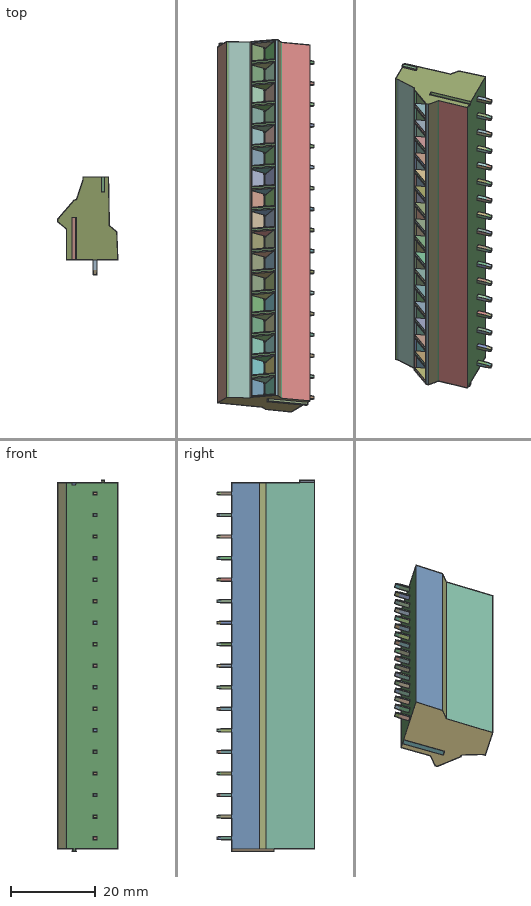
import cadquery as cq
import math

POLES = 17
PITCH = 5.08
BODY_HEIGHT = POLES * PITCH
BODY_DEPTH = 19.6
BODY_WIDTH = 14.25

NOSE_FOOT_X = 2.1
SLOPE_TOP_X = 3.95
SHOULDER_X = 4.45
BACK_LEFT_X = 6.0
BACK_RIGHT_X = 12.05
STEP_X = 12.25
FOOT_X = 14.0

FOOT_Y = 6.6
NOSE_FOOT_Y = 7.26
STEP_Y = 8.1
NOSE_LOW_Y = 9.0
NOSE_HIGH_Y = 9.6
SLOPE_TOP_Y = 14.15
SHOULDER_Y = 14.25
BACK_EDGE_Y = 18.95

NOSE_FOOT_FILLET = 0.4
BACK_EDGE_FILLET = 1.0

POCKET_WIDTH = 4.2
MOUTH_CHAMFER = 0.25
POCKET_DRAFT = 14
POCKET_LOW_Y = 9.75
POCKET_FLOOR_LOW_Y = 10.3
POCKET_HIGH_Y = 14.1
POCKET_FLOOR_X = 4.4
SLOT_WIDTH = 2.6
SLOT_HIGH_Y = 10.8
SLOT_DEPTH = 0.5

PIN_X = 8.85
PIN_WIDTH = 1.0
PIN_THICKNESS = 0.8
PIN_LENGTH = 3.5
PIN_TAPER_LENGTH = 1.1
PIN_TIP_WIDTH = 0.85
PIN_TIP_THICKNESS = 0.55
PIN_ROOT = 1.0

RAIL_HEIGHT = 0.58
TOP_RAIL_X = 10.73
TOP_RAIL_FACE_WIDTH = 0.8
TOP_RAIL_NECK_WIDTH = 0.4
TOP_RAIL_START_Y = 16.05
LONG_RAIL_X = 3.92
LONG_RAIL_FACE_WIDTH = 1.05
LONG_RAIL_NECK_WIDTH = 0.5
LONG_RAIL_END_Y = 10.05
GROOVE_FLOOR_WIDTH = 0.8


def fillet_upright_edge(body, edge_x, edge_y, radius):
    """Round the full-height edge at the given section corner."""
    edge = cq.selectors.NearestToPointSelector((edge_x, edge_y, BODY_HEIGHT / 2))
    return body.edges("|Z").edges(edge).fillet(radius)


def make_housing():
    """Constant section extruded over all poles."""
    section = [
        (NOSE_FOOT_X, 0),
        (BODY_WIDTH, 0),
        (FOOT_X, FOOT_Y),
        (STEP_X, STEP_Y),
        (BACK_RIGHT_X, BODY_DEPTH),
        (BACK_LEFT_X, BODY_DEPTH),
        (BACK_LEFT_X, BACK_EDGE_Y),
        (SHOULDER_X, SHOULDER_Y),
        (SLOPE_TOP_X, SLOPE_TOP_Y),
        (0, NOSE_HIGH_Y),
        (0, NOSE_LOW_Y),
        (NOSE_FOOT_X, NOSE_FOOT_Y),
    ]
    housing = cq.Workplane("XY").polyline(section).close().extrude(BODY_HEIGHT)
    housing = fillet_upright_edge(housing, NOSE_FOOT_X, NOSE_FOOT_Y, NOSE_FOOT_FILLET)
    return fillet_upright_edge(housing, BACK_LEFT_X, BACK_EDGE_Y, BACK_EDGE_FILLET)


def make_pocket_cutter():
    """Wire entry centred on Z = 0: sides drafted inward from the slanted face, floor square to X."""
    slope_x = SLOPE_TOP_X
    slope_y = SLOPE_TOP_Y - NOSE_HIGH_Y
    slope_length = math.hypot(slope_x, slope_y)
    profile = [
        (-slope_x, POCKET_LOW_Y),
        (0, POCKET_LOW_Y),
        (POCKET_FLOOR_X, POCKET_FLOOR_LOW_Y),
        (POCKET_FLOOR_X, POCKET_HIGH_Y),
        (-slope_x, POCKET_HIGH_Y),
    ]
    block = cq.Workplane("XY").polyline(profile).close().extrude(PITCH / 2, both=True)

    depth = slope_length / 2
    half_width = POCKET_WIDTH / 2
    half_mouth = half_width + MOUTH_CHAMFER
    half_bottom = half_width - depth * math.tan(math.radians(POCKET_DRAFT))
    slope_plane = cq.Plane(
        origin=(0, NOSE_HIGH_Y, 0),
        xDir=(slope_y / slope_length, -slope_x / slope_length, 0),
        normal=(slope_x, slope_y, 0),
    )
    wedge = (
        cq.Workplane(slope_plane)
        .polyline([
            (-slope_length, half_mouth),
            (0, half_mouth),
            (MOUTH_CHAMFER, half_width),
            (depth, half_bottom),
            (depth, -half_bottom),
            (MOUTH_CHAMFER, -half_width),
            (0, -half_mouth),
            (-slope_length, -half_mouth),
        ])
        .close()
        .extrude(slope_length, both=True)
    )
    slot = (
        cq.Workplane("XY")
        .box(
            SLOT_DEPTH,
            SLOT_HIGH_Y - POCKET_FLOOR_LOW_Y,
            SLOT_WIDTH,
            centered=(False, False, True),
        )
        .translate((POCKET_FLOOR_X, POCKET_FLOOR_LOW_Y, 0))
    )
    return block.intersect(wedge).union(slot)


def make_pin():
    """Rectangular pin pointing to -Y with a tapered tip, centred on Z = 0."""
    shank_length = PIN_LENGTH - PIN_TAPER_LENGTH
    shank = (
        cq.Workplane("XZ", origin=(PIN_X, PIN_ROOT, 0))
        .rect(PIN_WIDTH, PIN_THICKNESS)
        .extrude(PIN_ROOT + shank_length)
    )
    tip = (
        cq.Workplane("XZ", origin=(PIN_X, -shank_length, 0))
        .rect(PIN_WIDTH, PIN_THICKNESS)
        .workplane(offset=PIN_TAPER_LENGTH)
        .rect(PIN_TIP_WIDTH, PIN_TIP_THICKNESS)
        .loft()
    )
    return shank.union(tip)


def make_bar(section, start_y, end_y):
    """Bar of constant (X, Z) section running along Y."""
    return cq.Workplane("XZ", origin=(0, start_y, 0)).polyline(section).close().extrude(start_y - end_y)


def dovetail_section(center_x, neck_width, face_width, base_z, face_z):
    """Symmetric trapezoid, narrow at base_z and wide at face_z."""
    return [
        (center_x - neck_width / 2, base_z),
        (center_x + neck_width / 2, base_z),
        (center_x + face_width / 2, face_z),
        (center_x - face_width / 2, face_z),
    ]


def make_top_rail():
    """Short rail on the top end, running out at the back."""
    section = dovetail_section(
        TOP_RAIL_X, TOP_RAIL_NECK_WIDTH, TOP_RAIL_FACE_WIDTH, BODY_HEIGHT, BODY_HEIGHT + RAIL_HEIGHT
    )
    return make_bar(section, TOP_RAIL_START_Y, BODY_DEPTH)


def make_bottom_rail():
    """Long rail under the bottom end, starting at the pin face."""
    section = dovetail_section(
        LONG_RAIL_X, LONG_RAIL_NECK_WIDTH, LONG_RAIL_FACE_WIDTH, 0, -RAIL_HEIGHT
    )
    return make_bar(section, 0, LONG_RAIL_END_Y)


def make_groove_cutter():
    """Groove in the top end above the long rail: one wall upright, the other sloped."""
    left_x = LONG_RAIL_X - LONG_RAIL_FACE_WIDTH / 2
    floor_z = BODY_HEIGHT - RAIL_HEIGHT
    section = [
        (left_x, floor_z),
        (left_x + GROOVE_FLOOR_WIDTH, floor_z),
        (left_x + LONG_RAIL_FACE_WIDTH, BODY_HEIGHT),
        (left_x, BODY_HEIGHT),
    ]
    return make_bar(section, 0, LONG_RAIL_END_Y)


pocket_cutter = make_pocket_cutter()
pin = make_pin()

result = make_housing()
for pole in range(POLES):
    pole_z = (pole + 0.5) * PITCH
    result = result.cut(pocket_cutter.translate((0, 0, pole_z)))
    result = result.union(pin.translate((0, 0, pole_z)))

result = result.union(make_top_rail()).union(make_bottom_rail()).cut(make_groove_cutter())